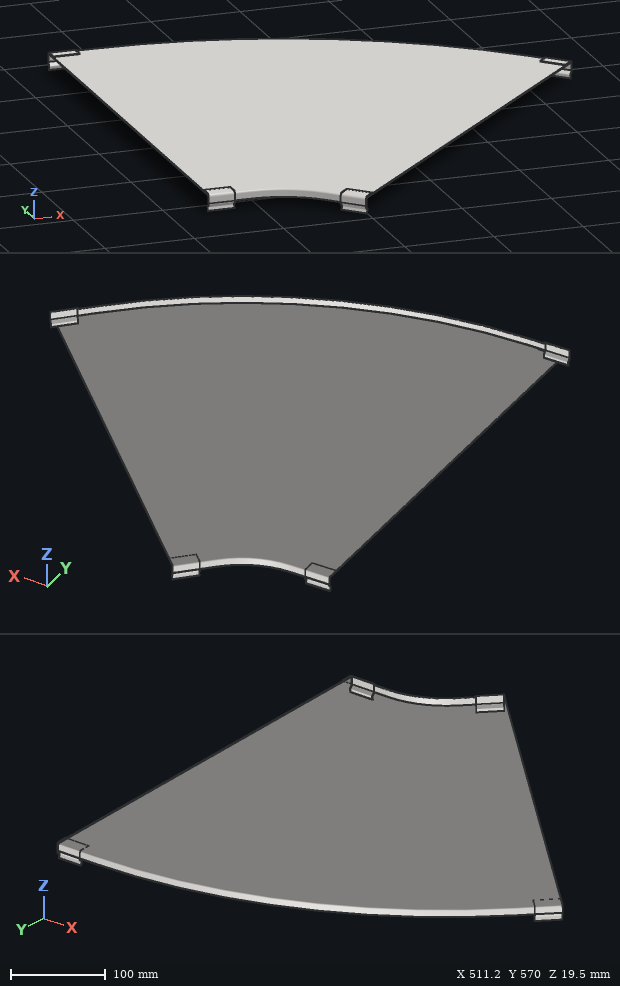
import cadquery as cq
import math

BEND_ANGLE = 45.0
OUTER_REACH = 723.0
LENGTH_Y = 570.0
STRAIGHT = 49.0

COVER_THICK = 1.0
COVER_HEIGHT = 9.5
COVER_BEND = 2.55

CLIP_THICK = 1.0
CLIP_LENGTH = 29.5
CLIP_TAB = 16.0
CLIP_HEIGHT = 19.5
CLIP_WALL_END = 12.0
CLIP_BULGE = 3.5
CLIP_FOOT = 2.0
CLIP_TURN = 0.5

CLIP_BULGE_DEPTH = CLIP_WALL_END + CLIP_BULGE
CLIP_TURN_SHIFT = CLIP_THICK * math.tan(math.radians(45 / 2))
CLIP_BEND = COVER_BEND + CLIP_THICK
COVER_TOP = -CLIP_THICK
COVER_BOTTOM = COVER_TOP - COVER_HEIGHT
INNER_REACH = (OUTER_REACH - LENGTH_Y) / math.cos(math.radians(BEND_ANGLE))
CURVE_CENTER_Y = STRAIGHT / math.tan(math.radians(BEND_ANGLE / 2))


def turned(x, y, angle):
    """Point (x, y) turned clockwise about the Z axis."""
    a = math.radians(angle)
    return (x * math.cos(a) + y * math.sin(a), y * math.cos(a) - x * math.sin(a))


def rim_points(reach):
    """Start, tangent point, arc middle, tangent point and end of one rim line."""
    radius = reach - CURVE_CENTER_Y
    offset_x, offset_y = turned(0, radius, BEND_ANGLE / 2)
    return [
        (0, reach),
        (STRAIGHT, reach),
        (STRAIGHT + offset_x, CURVE_CENTER_Y + offset_y),
        turned(-STRAIGHT, reach, BEND_ANGLE),
        turned(0, reach, BEND_ANGLE),
    ]


def bend_block(inset, top, bend_radius):
    """Solid bend between the two rims, with both long top edges rounded."""
    outer = rim_points(OUTER_REACH - inset)
    inner = rim_points(INNER_REACH + inset)
    block = (
        cq.Workplane("XY", origin=(0, 0, COVER_BOTTOM))
        .moveTo(*outer[0])
        .lineTo(*outer[1])
        .threePointArc(outer[2], outer[3])
        .lineTo(*outer[4])
        .lineTo(*inner[4])
        .lineTo(*inner[3])
        .threePointArc(inner[2], inner[1])
        .lineTo(*inner[0])
        .close()
        .extrude(top - COVER_BOTTOM)
    )
    return block.faces(">Z").edges("%CIRCLE").fillet(bend_radius)


def make_cover():
    shell = bend_block(CLIP_THICK, COVER_TOP, COVER_BEND)
    cavity = bend_block(
        CLIP_THICK + COVER_THICK, COVER_TOP - COVER_THICK, COVER_BEND - COVER_THICK
    )
    return shell.cut(cavity)


def make_clip(reach, outward, at_far_end):
    """Snap clip; outward is +1 on the outer rim and -1 on the inner rim."""
    def at(inward, depth):
        return (reach - outward * inward, -depth)

    inner_bend = CLIP_BEND - CLIP_THICK
    diagonal = math.sqrt(0.5)
    outer_mid = CLIP_BEND - CLIP_BEND * diagonal
    inner_mid = CLIP_BEND - inner_bend * diagonal
    profile = (
        cq.Workplane("YZ")
        .moveTo(*at(CLIP_TAB, 0))
        .lineTo(*at(CLIP_BEND, 0))
        .threePointArc(at(outer_mid, outer_mid), at(0, CLIP_BEND))
        .lineTo(*at(0, CLIP_WALL_END))
        .lineTo(*at(CLIP_BULGE, CLIP_BULGE_DEPTH))
        .lineTo(*at(CLIP_FOOT, CLIP_HEIGHT))
        .lineTo(*at(CLIP_FOOT + CLIP_THICK, CLIP_HEIGHT))
        .lineTo(*at(CLIP_BULGE + CLIP_THICK, CLIP_BULGE_DEPTH - CLIP_TURN_SHIFT))
        .lineTo(*at(CLIP_THICK, CLIP_WALL_END - CLIP_TURN_SHIFT))
        .lineTo(*at(CLIP_THICK, CLIP_BEND))
        .threePointArc(at(inner_mid, inner_mid), at(CLIP_BEND, CLIP_THICK))
        .lineTo(*at(CLIP_TAB, CLIP_THICK))
        .close()
    )
    clip = profile.extrude(-CLIP_LENGTH if at_far_end else CLIP_LENGTH)

    turn_corners = (
        (0, CLIP_WALL_END, CLIP_TURN + CLIP_THICK),
        (CLIP_THICK, CLIP_WALL_END - CLIP_TURN_SHIFT, CLIP_TURN),
        (CLIP_BULGE, CLIP_BULGE_DEPTH, CLIP_TURN),
        (CLIP_BULGE + CLIP_THICK, CLIP_BULGE_DEPTH - CLIP_TURN_SHIFT, CLIP_TURN + CLIP_THICK),
    )
    middle_x = -CLIP_LENGTH / 2 if at_far_end else CLIP_LENGTH / 2
    for inward, depth, radius in turn_corners:
        corner = cq.NearestToPointSelector((middle_x, *at(inward, depth)))
        clip = clip.edges("|X").edges(corner).fillet(radius)

    if at_far_end:
        clip = clip.rotate((0, 0, 0), (0, 0, 1), -BEND_ANGLE)
    return clip


cover = make_cover()
clips = [
    make_clip(reach, outward, at_far_end)
    for reach, outward in ((OUTER_REACH, 1), (INNER_REACH, -1))
    for at_far_end in (False, True)
]

result = cq.Compound.makeCompound([cover.val(), *[clip.val() for clip in clips]])